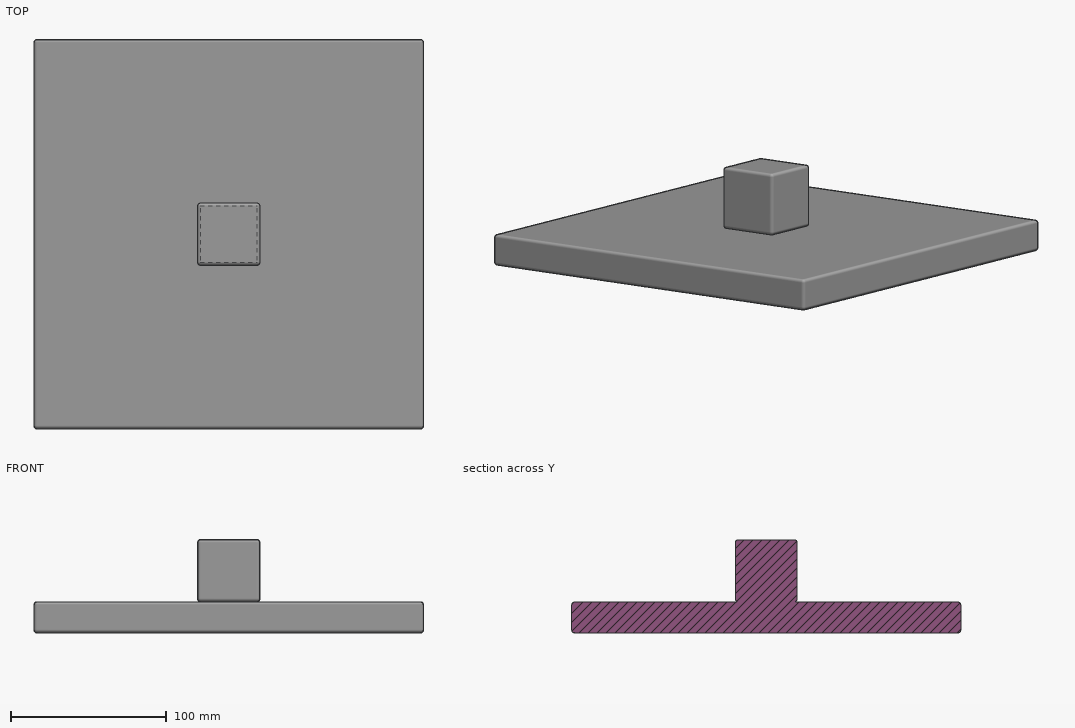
import cadquery as cq

plate_side = 250.0
plate_thickness = 20.0

cube_side = 40.0

edge_radius = 2.0


def rounded_block(side, height):
    """Square block centred on Z, standing on Z = 0, with all edges rounded."""
    block = cq.Workplane("XY").box(side, side, height, centered=(True, True, False))
    return block.edges().fillet(edge_radius)


plate = rounded_block(plate_side, plate_thickness)
cube = rounded_block(cube_side, cube_side).translate((0, 0, plate_thickness))

result = plate.union(cube)